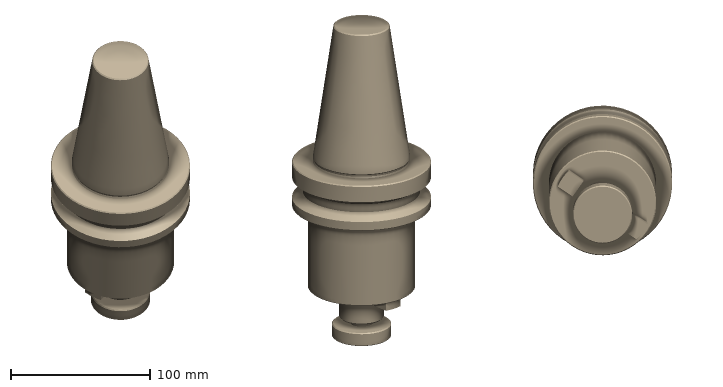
import cadquery as cq

total_height = 239.8
head_top = 10.0
spigot_bottom = 14.1
body_bottom = 38.0
flange_bottom = 100.2
groove_low = 111.7
groove_high = 118.0
flange_top = 135.0
relief_bottom = 136.0
relief_top = 137.2
taper_bottom = 138.1

head_radius = 21.3
neck_radius = 8.2
spigot_radius = 16.0
body_radius = 38.5
flange_radius = 50.0
groove_radius = 42.2
taper_large_radius = 35.0
taper_small_radius = 20.1
relief_radius = 34.0
relief_foot_radius = 35.0

edge_break = 0.7
spigot_chamfer = 1.5
groove_flank = 4.5

key_width = 13.7
key_inner = 21.3
key_outer = 35.0
key_bottom = 31.0
key_embed = 2.5


def make_disc(bottom, top, radius):
    """Cylinder on the tool axis between two heights."""
    return cq.Workplane("XY").workplane(offset=bottom).circle(radius).extrude(top - bottom)


def make_clamping_bolt():
    head = make_disc(0, head_top, head_radius).edges().chamfer(edge_break)
    neck = make_disc(head_top, spigot_bottom, neck_radius)
    return head.union(neck)


def make_body():
    spigot = make_disc(spigot_bottom, body_bottom, spigot_radius).faces("<Z").chamfer(spigot_chamfer)
    body = make_disc(body_bottom, flange_bottom, body_radius).faces("<Z").chamfer(edge_break)
    return spigot.union(body)


def make_flange():
    flange = make_disc(flange_bottom, flange_top, flange_radius).edges().chamfer(edge_break)
    groove = (
        cq.Workplane("XZ")
        .moveTo(groove_radius, groove_low)
        .lineTo(flange_radius, groove_low - groove_flank)
        .lineTo(flange_radius, groove_high + groove_flank)
        .lineTo(groove_radius, groove_high)
        .close()
        .revolve(360, (0, 0, 0), (0, 1, 0))
    )
    return flange.cut(groove)


def make_cone(bottom, top, bottom_radius, top_radius):
    """Truncated cone on the tool axis between two heights."""
    return (
        cq.Workplane("XY")
        .workplane(offset=bottom)
        .circle(bottom_radius)
        .workplane(offset=top - bottom)
        .circle(top_radius)
        .loft()
    )


def make_taper():
    """Shank taper above a shallow relief neck that flares out again onto the flange."""
    foot = make_cone(flange_top, relief_bottom, relief_foot_radius, relief_radius)
    neck = make_disc(relief_bottom, relief_top, relief_radius)
    shoulder = make_cone(relief_top, taper_bottom, relief_radius, taper_large_radius)
    shank = make_cone(taper_bottom, total_height, taper_large_radius, taper_small_radius)
    return foot.union(neck).union(shoulder).union(shank.faces(">Z").chamfer(edge_break))


def make_drive_keys():
    """Pair of keys under the body on +Y and -Y, with outer faces concentric to the tool axis."""
    key_top = body_bottom + key_embed
    blocks = (
        cq.Workplane("XY")
        .workplane(offset=key_bottom)
        .pushPoints([(0, side * (key_inner + key_outer) / 2) for side in (1, -1)])
        .rect(key_width, key_outer - key_inner)
        .extrude(key_top - key_bottom)
    )
    return blocks.intersect(make_disc(key_bottom, key_top, key_outer))


result = (
    make_clamping_bolt()
    .union(make_body())
    .union(make_flange())
    .union(make_taper())
    .union(make_drive_keys())
)